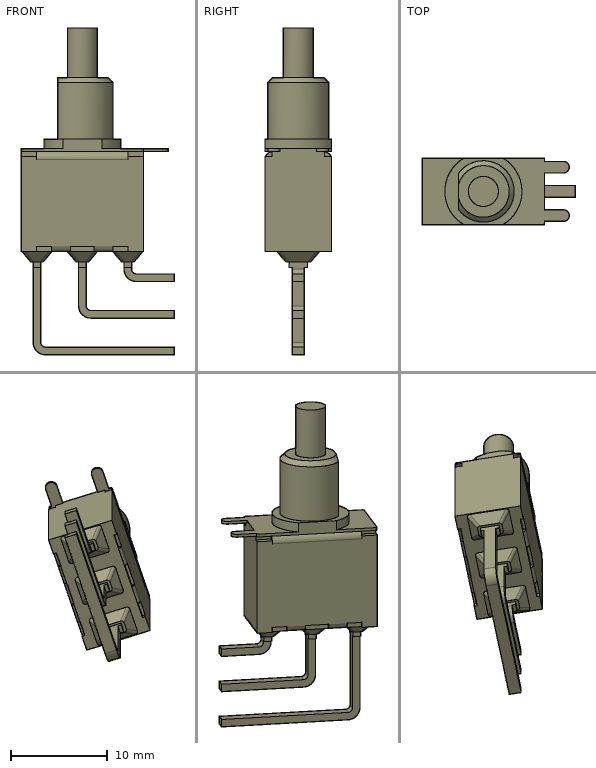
import cadquery as cq
import math


overall_length = 15.87

body_length = 12.7
body_width = 6.9
body_bottom = 10.7
body_top = 21.05
end_wall_top = 20.55
core_width = 5.4

sheet = 0.3
shroud_length = 9.48
shroud_bottom = 11.25
shroud_bend_radius = 0.8
crimp_length = 1.95
crimp_spacing = 4.4
crimp_bend_radius = 0.47
crimp_depth = 2 * crimp_bend_radius

plate_top = body_top + sheet
plate_corner_radius = 0.2
prong_tip_x = 8.9
prong_width = 1.22
prong_spacing = 5.0

washer_diameter = 8.0
washer_top = 22.35
bushing_diameter = 6.35
bushing_top = 28.7
bushing_chamfer = 0.5
bushing_flat_x = -2.57
plunger_diameter = 3.1
plunger_top = 33.85

terminal_count = 3
terminal_pitch = 4.7
terminal_rise_step = 3.8
terminal_thickness = 0.8
terminal_width = 1.25
terminal_tip_x = overall_length - body_length / 2
bend_inner_radius = 0.47
bend_outer_radius = bend_inner_radius + terminal_thickness
collar_width = 1.95
collar_bottom = 9.05
seal_bottom = 9.6
seal_top_length = 3.1
seal_top_width = 4.4
seal_height = body_bottom - seal_bottom
seal_inset = 0.9
seal_corner_radius = 0.3


def block(length, width, bottom, top, x=0.0, y=0.0):
    """Box centred on (x, y) between two heights."""
    return (
        cq.Workplane("XY", origin=(x, y, bottom))
        .box(length, width, top - bottom, centered=(True, True, False))
    )


def cylinder(diameter, bottom, top):
    """Cylinder on the plunger axis between two heights."""
    return cq.Workplane("XY").workplane(offset=bottom).circle(diameter / 2).extrude(top - bottom)


def make_body():
    """Narrow core with full-width end walls, open at the sides for the shroud."""
    core = block(body_length, core_width, body_bottom, body_top)
    walls = block(body_length, body_width, body_bottom, end_wall_top)
    side_recesses = block(shroud_length, body_width, body_bottom, end_wall_top).cut(
        block(shroud_length, body_width - 2 * sheet, body_bottom, end_wall_top)
    )
    return core.union(walls.cut(side_recesses))


def make_shroud():
    """Shroud with rounded top edges and crimp tabs bent in under both sides."""
    shroud = (
        block(shroud_length, body_width, shroud_bottom, body_top)
        .edges("|X and >Z")
        .fillet(shroud_bend_radius)
    )
    for side in (-1, 1):
        outer_edge = "<Y" if side < 0 else ">Y"
        tab_y = side * (body_width - crimp_depth) / 2
        for x in (-crimp_spacing / 2, crimp_spacing / 2):
            tab = (
                block(crimp_length, crimp_depth, body_bottom, shroud_bottom, x, tab_y)
                .edges("|X and <Z")
                .edges(outer_edge)
                .fillet(crimp_bend_radius)
            )
            shroud = shroud.union(tab)
    return shroud


def make_plate():
    """Top plate with two round-tipped prongs pointing toward +X."""
    plate = block(body_length, body_width, body_top, plate_top).edges("|Z").fillet(plate_corner_radius)
    prong_end_x = prong_tip_x - prong_width / 2
    for y in (-prong_spacing / 2, prong_spacing / 2):
        shank = block(prong_end_x, prong_width, body_top, plate_top, prong_end_x / 2, y)
        tip = cylinder(prong_width, body_top, plate_top).translate((prong_end_x, y, 0))
        plate = plate.union(shank).union(tip)
    return plate


def make_actuator():
    """Washer trimmed to the housing width, flatted bushing and plunger."""
    washer = cylinder(washer_diameter, plate_top, washer_top).intersect(
        block(washer_diameter, body_width, plate_top, washer_top)
    )
    bushing = cylinder(bushing_diameter, plate_top, bushing_top).faces(">Z").chamfer(bushing_chamfer)
    flat_center_x = bushing_flat_x - bushing_diameter / 2
    flat_cut = block(bushing_diameter, bushing_diameter, washer_top, bushing_top, flat_center_x)
    plunger = cylinder(plunger_diameter, plate_top, plunger_top)
    return washer.union(bushing.cut(flat_cut)).union(plunger)


def make_seal(x):
    """Tapered seal below the housing around one terminal."""
    upper = cq.Sketch().rect(seal_top_length, seal_top_width).vertices().fillet(seal_corner_radius)
    lower = (
        cq.Sketch()
        .rect(seal_top_length - 2 * seal_inset, seal_top_width - 2 * seal_inset)
        .vertices()
        .fillet(seal_corner_radius)
    )
    return (
        cq.Workplane("XY", origin=(x, 0, body_bottom))
        .placeSketch(upper, lower.moved(cq.Location(cq.Vector(0, 0, -seal_height))))
        .loft(ruled=True)
    )


def make_terminal(x, foot_bottom):
    """L-shaped terminal with a bent corner and a wider collar at its root."""
    left = x - terminal_thickness / 2
    right = x + terminal_thickness / 2
    foot_top = foot_bottom + terminal_thickness
    bend_x = right + bend_inner_radius
    bend_z = foot_top + bend_inner_radius
    diagonal = math.sqrt(0.5)
    strip = (
        cq.Workplane("XZ")
        .moveTo(left, body_bottom)
        .lineTo(left, bend_z)
        .threePointArc(
            (bend_x - bend_outer_radius * diagonal, bend_z - bend_outer_radius * diagonal),
            (bend_x, foot_bottom),
        )
        .lineTo(terminal_tip_x, foot_bottom)
        .lineTo(terminal_tip_x, foot_top)
        .lineTo(bend_x, foot_top)
        .threePointArc(
            (bend_x - bend_inner_radius * diagonal, bend_z - bend_inner_radius * diagonal),
            (right, bend_z),
        )
        .lineTo(right, body_bottom)
        .close()
        .extrude(terminal_width / 2, both=True)
    )
    collar = block(terminal_thickness, collar_width, collar_bottom, body_bottom, x)
    return strip.union(collar)


result = make_body().union(make_shroud()).union(make_plate()).union(make_actuator())
for row in range(terminal_count):
    terminal_x = (row - (terminal_count - 1) / 2) * terminal_pitch
    result = result.union(make_seal(terminal_x))
    result = result.union(make_terminal(terminal_x, row * terminal_rise_step))